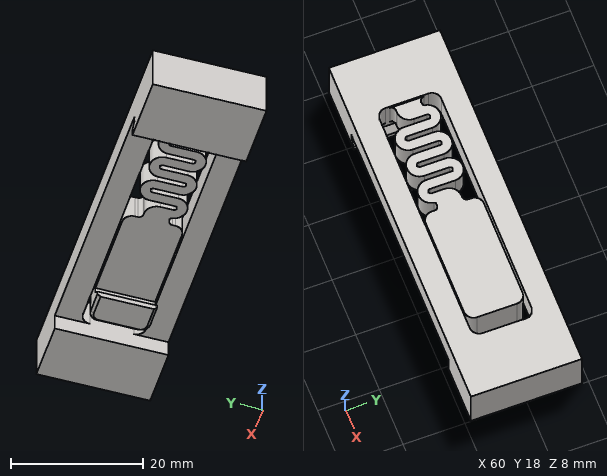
import cadquery as cq

LENGTH = 60.0
WIDTH = 18.0
HEIGHT = 8.0
FOOT_HEIGHT = 3.0
WINDOW_LENGTH = 41.05
WINDOW_WIDTH = 9.95
WINDOW_RADIUS = 1.5
WINDOW_END = WINDOW_LENGTH / 2

LIP_REACH = 1.0
LIP_EDGE_HEIGHT = 1.0
LIP_ROOT_HEIGHT = LIP_EDGE_HEIGHT + LIP_REACH

RECESS = 0.5
INSERT_TOP = HEIGHT - RECESS
LATCH_LEFT = -1.8
LATCH_RIGHT = 17.45
LATCH_WIDTH = 9.4
LATCH_RADIUS = 1.5
LATCH_CHAMFER = 0.5
LATCH_FOOT_LEFT = 13.5

SPRING_CENTER_X = -11.1
BEND_PITCH = 2.4
BEAM = 1.6
BEND_COUNT = 6
BEND_Y = 2.05
BEND_OUTER = (BEND_PITCH + BEAM) / 2
BEND_INNER = (BEND_PITCH - BEAM) / 2
NECK_FILLET = 0.7
BEND_FILLET = 0.35


def block(x_min, x_max, width, z_min, z_max):
    """Box centred on Y, given by its X and Z limits."""
    size_x = x_max - x_min
    return (
        cq.Workplane("XY")
        .box(size_x, width, z_max - z_min, centered=(False, True, False))
        .translate((x_min, 0, z_min))
    )


def lip(root_x, direction, width):
    """Hook with a sloped upper side, pointing along direction in X."""
    tip_x = root_x + direction * LIP_REACH
    return (
        cq.Workplane("XZ")
        .moveTo(root_x, 0)
        .lineTo(tip_x, 0)
        .lineTo(tip_x, LIP_EDGE_HEIGHT)
        .lineTo(root_x, LIP_ROOT_HEIGHT)
        .close()
        .extrude(width / 2, both=True)
    )


def make_frame():
    body = block(-LENGTH / 2, LENGTH / 2, WIDTH, 0, HEIGHT)
    body = body.cut(block(-WINDOW_END, WINDOW_END, WIDTH, 0, FOOT_HEIGHT))
    window = block(-WINDOW_END, WINDOW_END, WINDOW_WIDTH, 0, HEIGHT)
    body = body.cut(window.edges("|Z").fillet(WINDOW_RADIUS))
    return body.union(lip(-WINDOW_END, 1, WIDTH))


def make_latch():
    plate = block(LATCH_LEFT, LATCH_RIGHT, LATCH_WIDTH, FOOT_HEIGHT, INSERT_TOP)
    plate = plate.edges("|Z").fillet(LATCH_RADIUS)
    foot = block(LATCH_FOOT_LEFT, LATCH_RIGHT, LATCH_WIDTH, 0, FOOT_HEIGHT)
    foot = foot.union(lip(LATCH_FOOT_LEFT, -1, LATCH_WIDTH))
    foot = foot.edges("|Z and >X").fillet(LATCH_RADIUS)
    foot = foot.faces("<Z").edges("not <X").chamfer(LATCH_CHAMFER)
    return plate.union(foot)


def bend(x, side):
    """Half ring joining two neighbouring legs; side is +1 for +Y, -1 for -Y."""
    y = side * BEND_Y
    return (
        cq.Workplane("XY", origin=(0, 0, FOOT_HEIGHT))
        .moveTo(x - BEND_OUTER, y)
        .threePointArc((x, y + side * BEND_OUTER), (x + BEND_OUTER, y))
        .lineTo(x + BEND_INNER, y)
        .threePointArc((x, y + side * BEND_INNER), (x - BEND_INNER, y))
        .close()
        .extrude(INSERT_TOP - FOOT_HEIGHT)
    )


def make_spring():
    half_span = BEND_PITCH * BEND_COUNT / 2
    first_leg_x = SPRING_CENTER_X - half_span
    last_leg_x = SPRING_CENTER_X + half_span

    left_neck = block(
        -WINDOW_END, first_leg_x + BEAM / 2, 2 * BEND_Y, FOOT_HEIGHT, INSERT_TOP
    )
    spring = left_neck.edges("|Z and >X and <Y").fillet(BEND_OUTER)
    right_neck = block(
        last_leg_x - BEAM / 2, LATCH_LEFT, 2 * BEND_Y, FOOT_HEIGHT, INSERT_TOP
    )
    spring = spring.union(right_neck.edges("|Z and <X and >Y").fillet(BEND_OUTER))

    for i in range(1, BEND_COUNT):
        x = first_leg_x + i * BEND_PITCH
        leg = block(x - BEAM / 2, x + BEAM / 2, 2 * BEND_Y, FOOT_HEIGHT, INSERT_TOP)
        spring = spring.union(leg)
    for i in range(BEND_COUNT):
        x = first_leg_x + (i + 0.5) * BEND_PITCH
        side = 1 if i % 2 == 0 else -1
        spring = spring.union(bend(x, side))
    return spring


def fillet_corner(body, x, y, radius):
    """Round the vertical inside corner of the spring nearest to (x, y)."""
    middle = (x, y, (FOOT_HEIGHT + INSERT_TOP) / 2)
    corner = cq.selectors.NearestToPointSelector(middle)
    return body.edges("|Z").edges(corner).fillet(radius)


result = make_frame().union(make_latch()).union(make_spring())

for neck_x in (-WINDOW_END, LATCH_LEFT):
    for neck_y in (-BEND_Y, BEND_Y):
        result = fillet_corner(result, neck_x, neck_y, NECK_FILLET)

bend_offset = BEND_PITCH * (BEND_COUNT - 1) / 2 + BEND_OUTER
for sign in (-1, 1):
    corner_x = SPRING_CENTER_X + sign * bend_offset
    result = fillet_corner(result, corner_x, -sign * BEND_Y, BEND_FILLET)